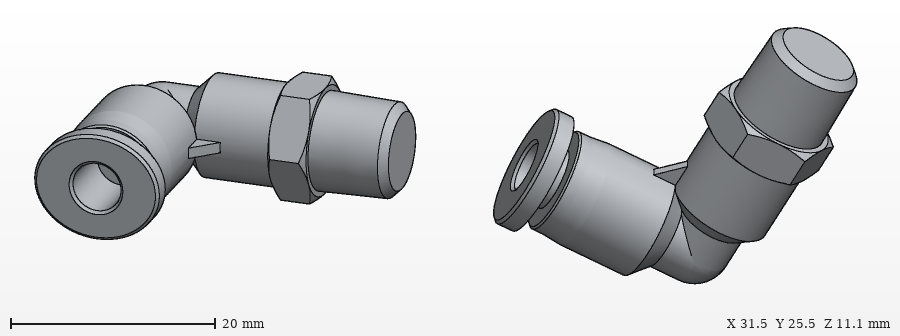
import cadquery as cq
import math


elbow_radius = 3.6
stud_arm_radius = 5.2
stud_arm_cone_start = 3.6
stud_arm_length = 13.0
tube_arm_radius = 5.5
tube_arm_cone_start = 3.3
tube_arm_taper_start = 12.35
tube_arm_lip_start = 14.35
tube_arm_length = 15.8
tube_arm_lip_radius = 5.3
tube_arm_lip_chamfer = 0.2
rib_thickness = 1.1
rib_axis_reach = 13.1

hex_across_flats = 11.11
hex_length = 4.0
hex_chamfer_angle = 30.0
thread_start_radius = 5.0
thread_end_radius = 4.8
thread_tip_radius = 3.95
thread_tip_chamfer = 0.83
stud_end = 25.0

collar_width = 13.0
collar_height = 11.0
collar_thickness = 2.0
collar_chamfer = 0.3
collet_end = 19.1
sleeve_radius = 3.15
sleeve_insertion = 4.0
bore_radius = 2.5
bore_chamfer = 0.3

hex_across_corners = hex_across_flats / math.cos(math.radians(30))
hex_end = stud_arm_length + hex_length
sleeve_inner_end = tube_arm_length - sleeve_insertion
collar_start = collet_end - collar_thickness


def revolve_about_x(profile):
    """Solid of revolution from (distance along +X, radius) points."""
    return cq.Workplane("XY").polyline(profile).close().revolve(360, (0, 0, 0), (1, 0, 0))


def revolve_about_y(profile):
    """Solid of revolution from (distance along -Y, radius) points."""
    points = [(radius, -distance) for distance, radius in profile]
    return cq.Workplane("XY").polyline(points).close().revolve(360, (0, 0, 0), (0, 1, 0))


def cylinder_along_minus_y(radius, start, end):
    """Cylinder on the tube arm axis between two distances along -Y."""
    return cq.Workplane("XZ", origin=(0, -start, 0)).circle(radius).extrude(end - start)


def make_housing():
    """Elbow with a spherical corner, two conical shoulders, a rib and a collet socket."""
    corner = cq.Workplane("XY").sphere(elbow_radius)
    stud_arm = revolve_about_x([
        (0, 0),
        (0, elbow_radius),
        (stud_arm_cone_start, elbow_radius),
        (stud_arm_cone_start + stud_arm_radius - elbow_radius, stud_arm_radius),
        (stud_arm_length, stud_arm_radius),
        (stud_arm_length, 0),
    ])
    tube_arm_cone_end = tube_arm_cone_start + (tube_arm_radius - elbow_radius)
    tube_arm = revolve_about_y([
        (0, 0),
        (0, elbow_radius),
        (tube_arm_cone_start, elbow_radius),
        (tube_arm_cone_end, tube_arm_radius),
        (tube_arm_taper_start, tube_arm_radius),
        (tube_arm_lip_start, tube_arm_lip_radius),
        (tube_arm_length - tube_arm_lip_chamfer, tube_arm_lip_radius),
        (tube_arm_length, tube_arm_lip_radius - tube_arm_lip_chamfer),
        (tube_arm_length, 0),
    ])
    rib_root = stud_arm_radius / 2
    rib_reach = rib_axis_reach - rib_root
    rib = (
        cq.Workplane("XY")
        .polyline([(rib_root, -rib_root), (rib_reach, -rib_root), (rib_root, -rib_reach)])
        .close()
        .extrude(rib_thickness / 2, both=True)
    )
    socket = cylinder_along_minus_y(sleeve_radius, sleeve_inner_end, tube_arm_length)
    return corner.union(stud_arm).union(tube_arm).union(rib).cut(socket)


def make_stud():
    """Chamfered hexagon followed by a slightly tapered threaded end."""
    hexagon = (
        cq.Workplane("YZ", origin=(stud_arm_length, 0, 0))
        .polygon(6, hex_across_corners)
        .extrude(hex_length)
    )
    face_radius = hex_across_flats / 2
    corner_radius = hex_across_corners / 2
    chamfer_length = (corner_radius - face_radius) * math.tan(math.radians(hex_chamfer_angle))
    chamfer_envelope = revolve_about_x([
        (stud_arm_length, 0),
        (stud_arm_length, face_radius),
        (stud_arm_length + chamfer_length, corner_radius),
        (hex_end - chamfer_length, corner_radius),
        (hex_end, face_radius),
        (hex_end, 0),
    ])
    thread = revolve_about_x([
        (hex_end, 0),
        (hex_end, thread_start_radius),
        (stud_end - thread_tip_chamfer, thread_end_radius),
        (stud_end, thread_tip_radius),
        (stud_end, 0),
    ])
    return hexagon.intersect(chamfer_envelope).union(thread)


def make_collet():
    """Oval release collar on a round sleeve, bored right through."""
    collar = (
        cq.Workplane("XZ", origin=(0, -collar_start, 0))
        .ellipse(collar_width / 2, collar_height / 2)
        .extrude(collar_thickness)
        .faces("<Y")
        .chamfer(collar_chamfer)
    )
    sleeve = cylinder_along_minus_y(sleeve_radius, sleeve_inner_end, collar_start)
    bore = revolve_about_y([
        (sleeve_inner_end, 0),
        (sleeve_inner_end, bore_radius),
        (collet_end - bore_chamfer, bore_radius),
        (collet_end, bore_radius + bore_chamfer),
        (collet_end, 0),
    ])
    return collar.union(sleeve).cut(bore)


housing = make_housing()
stud = make_stud()
collet = make_collet()

result = cq.Compound.makeCompound([housing.val(), stud.val(), collet.val()])